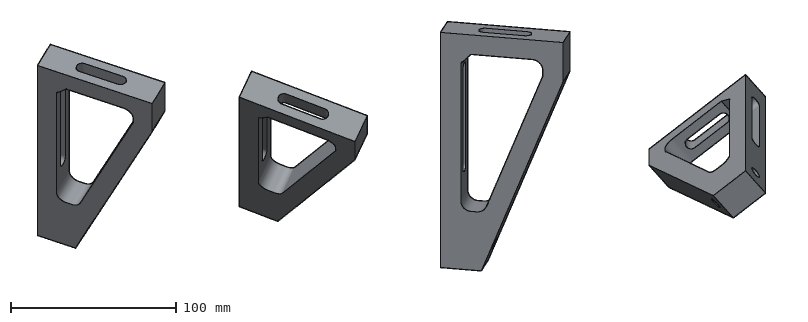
import cadquery as cq
import math

width = 76.2
thickness = 19.05
height = 152.4
foot_width = 25.4
head_height = 25.4

wall = 12.7
window_floor = 38.1
corner_chamfer = 6.35
corner_radius = 6.35

slot_width = 7.14
slot_depth = 1.5 * wall
top_slot_travel = 25.4
top_slot_center_x = width / 2
side_slot_travel = 63.5
side_slot_center_z = 95.25
hole_diameter = slot_width
hole_z = 15.0

slope_run = width - foot_width
slope_rise = height - head_height
slope_offset_x = wall * math.hypot(slope_run, slope_rise) / slope_rise


def inner_slope_x(z):
    """X of the window's sloped edge at height z."""
    return foot_width + slope_run * z / slope_rise - slope_offset_x


def inner_slope_z(x):
    """Z of the window's sloped edge at position x."""
    return (x + slope_offset_x - foot_width) * slope_rise / slope_run


def make_plate():
    outline = [
        (0, 0),
        (foot_width, 0),
        (width, slope_rise),
        (width, height),
        (0, height),
    ]
    return cq.Workplane("XZ").polyline(outline).close().extrude(-thickness)


def make_window():
    """Window cutter: chamfered upper left, rounded upper right and lower corners."""
    right = width - wall
    top = height - wall
    lower_left = (wall, window_floor)
    lower_right = (inner_slope_x(window_floor), window_floor)
    upper_right = (right, top)
    outline = [
        lower_left,
        lower_right,
        (right, inner_slope_z(right)),
        upper_right,
        (wall + corner_chamfer, top),
        (wall, top - corner_chamfer),
    ]
    window = cq.Workplane("XZ").polyline(outline).close().extrude(-thickness)
    for corner_x, corner_z in (lower_left, lower_right, upper_right):
        corner = cq.selectors.NearestToPointSelector((corner_x, thickness / 2, corner_z))
        window = window.edges("|Y").edges(corner).fillet(corner_radius)
    return window


def make_top_slot():
    """Slot through the top bar into the window."""
    return (
        cq.Workplane("XY", origin=(top_slot_center_x, thickness / 2, height - slot_depth))
        .slot2D(top_slot_travel + slot_width, slot_width)
        .extrude(slot_depth)
    )


def make_side_slot():
    """Slot through the upright into the window."""
    return (
        cq.Workplane("YZ", origin=(0, thickness / 2, side_slot_center_z))
        .slot2D(side_slot_travel + slot_width, slot_width, 90)
        .extrude(slot_depth)
    )


def make_foot_hole():
    """Round hole along X through the solid foot."""
    return (
        cq.Workplane("YZ", origin=(0, thickness / 2, hole_z))
        .circle(hole_diameter / 2)
        .extrude(width)
    )


result = make_plate()
for cutter in (make_window(), make_top_slot(), make_side_slot(), make_foot_hole()):
    result = result.cut(cutter)